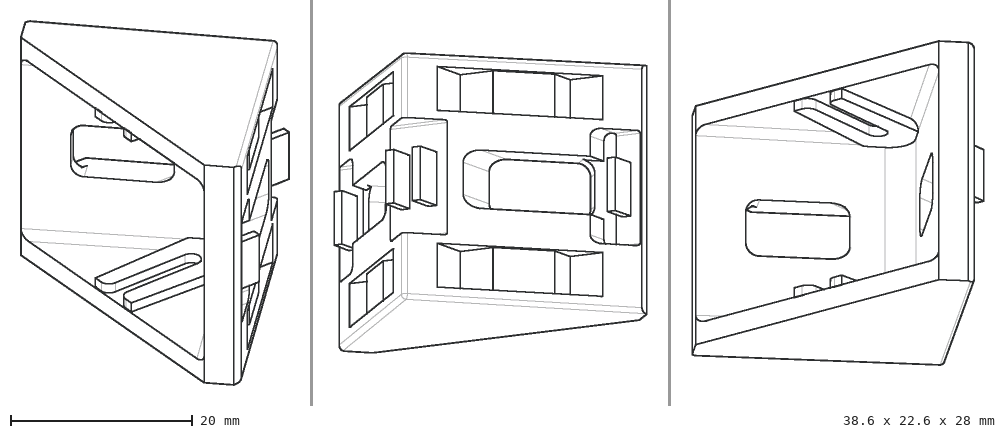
import cadquery as cq
import math

width = 38.6
height = 28.0
clearance = 1.93

outer_reach = 22.7
mouth_half_width = 17.0
inner_reach = mouth_half_width
outer_edge_radius = 0.55
outer_draft = 0.35

side_wall = 2.47
inner_corner_radius = 3.05
cavity_fillet = 1.0
inner_draft = 1.2

pad_thickness = 1.15
pad_half_width = 3.32
pad_half_width_deep = 3.95
pad_start_y = 0.1
pad_end_y = 16.2
pad_slot_half_width = 1.15
pad_slot_end_y = 11.9
pad_mouth_radius = 1.12

slot_inner_x = 4.9
slot_outer_x = 13.05
slot_half_height = 3.3
slot_radius = 1.45

recess_half_height = 6.5
recess_start_x = 15.15
recess_floor_y = 3.55
recess_corner_radius = 0.93
recess_floor_radius = 0.27
recess_reach = 19.7

notch_floor_y = 19.05

tab_half_height = 3.0
tab_width = 1.0
tab_root_width = 1.1
tab_embed = 0.4
upper_tab_x = 1.2
upper_tab_top_y = 22.6
lower_tab_x = 16.9
lower_tab_top_y = 6.87

pocket_low_z = 7.5
pocket_high_z = 12.43
pocket_start_x = 2.8
pocket_end_x = 16.15
pocket_width = 4.15
inner_pocket_floor_y = 14.85
outer_pocket_floor_y = 6.52
rib_drop = 0.8


def prism(points, low_z, high_z):
    """Closed XY outline extruded from low_z to high_z."""
    return cq.Workplane("XY").workplane(offset=low_z).polyline(points).close().extrude(high_z - low_z)


def drafted_slab(half_height, draft):
    """Slab symmetric about Z = 0 with the given half height at Y = 0, thinning towards +Y."""
    slope = math.tan(math.radians(draft))
    near_y = -clearance
    far_y = outer_reach + clearance
    near_z = half_height - near_y * slope
    far_z = half_height - far_y * slope
    return (
        cq.Workplane("YZ")
        .polyline([(near_y, -near_z), (far_y, -far_z), (far_y, far_z), (near_y, near_z)])
        .close()
        .extrude(width / 2 + clearance, both=True)
    )


def both_sides(solid):
    """The +X feature together with its mirror image on the -X side."""
    return solid.union(solid.mirror("YZ"))


def make_body():
    """Solid wedge with clipped ends, drafted sides and rounded outer edges."""
    half_width = width / 2
    end_low_y = half_width - mouth_half_width
    end_high_y = outer_reach - half_width
    outline = [
        (-mouth_half_width, 0),
        (mouth_half_width, 0),
        (half_width, end_low_y),
        (half_width, end_high_y),
        (0, outer_reach),
        (-half_width, end_high_y),
        (-half_width, end_low_y),
    ]
    wedge = prism(outline, -height, height).intersect(drafted_slab(height / 2, outer_draft))
    above_clipped_ends = cq.selectors.BoxSelector(
        (-half_width / 2 - clearance, end_high_y, -height),
        (half_width / 2 + clearance, outer_reach + clearance, height),
    )
    return wedge.edges(above_clipped_ends).fillet(outer_edge_radius)


def make_cavity():
    """Triangular cavity, open at Y = 0, with filleted walls."""
    base_half_width = mouth_half_width + clearance
    outline = [(-base_half_width, -clearance), (base_half_width, -clearance), (0, inner_reach)]
    triangle = prism(outline, -height, height).edges("|Z and >Y").fillet(inner_corner_radius)
    cavity = triangle.intersect(drafted_slab(height / 2 - side_wall, inner_draft))
    return cavity.edges("(not |Z) and (not <Y)").fillet(cavity_fillet)


def make_pads():
    """Two U-shaped pads, one on each side wall, open towards the mouth."""
    arc_centre_y = pad_slot_end_y - pad_slot_half_width
    leg_x = pad_slot_half_width + pad_mouth_radius
    leg_y = pad_start_y + pad_mouth_radius
    bulge = pad_mouth_radius * (1 - math.sqrt(0.5))
    bulge_x = pad_slot_half_width + bulge
    bulge_y = pad_start_y + bulge
    pad = (
        cq.Workplane("XY")
        .moveTo(pad_half_width, pad_start_y)
        .lineTo(pad_half_width_deep, pad_end_y)
        .lineTo(-pad_half_width_deep, pad_end_y)
        .lineTo(-pad_half_width, pad_start_y)
        .lineTo(-leg_x, pad_start_y)
        .threePointArc((-bulge_x, bulge_y), (-pad_slot_half_width, leg_y))
        .lineTo(-pad_slot_half_width, arc_centre_y)
        .threePointArc((0, pad_slot_end_y), (pad_slot_half_width, arc_centre_y))
        .lineTo(pad_slot_half_width, leg_y)
        .threePointArc((bulge_x, bulge_y), (leg_x, pad_start_y))
        .close()
        .extrude(height / 2 - side_wall / 2, both=True)
    )
    return pad.cut(drafted_slab(height / 2 - side_wall - pad_thickness, inner_draft))


def make_bolt_slot():
    """Slot through the +X flange: inner end runs along Y, outer end is square to the flange."""
    start_x = slot_outer_x - clearance
    start_y = inner_reach - slot_outer_x - clearance
    square_run = clearance + (outer_reach - inner_reach) / 2
    outline = [
        (start_x, start_y),
        (start_x + square_run, start_y + square_run),
        (slot_inner_x, outer_reach - slot_inner_x),
        (slot_inner_x, start_y),
    ]
    slot = prism(outline, -slot_half_height, slot_half_height)
    inner_end_edges = slot.faces("<X").edges("|Y")
    outer_end_edges = slot.faces(cq.selectors.DirectionMinMaxSelector(cq.Vector(1, -1, 0))).edges("not |Z")
    return slot.newObject(inner_end_edges.vals() + outer_end_edges.vals()).fillet(slot_radius)


def make_end_recess():
    """Recess at the free end of the +X flange, with a channel running into the bolt slot."""
    far_x = width / 2 + clearance
    outline = [
        (recess_start_x, outer_reach),
        (recess_start_x, recess_reach - recess_start_x),
        (recess_reach - recess_floor_y, recess_floor_y),
        (far_x, recess_floor_y),
        (far_x, outer_reach),
    ]
    recess = prism(outline, -recess_half_height, recess_half_height)
    recess = recess.faces("<Y").edges("|X").fillet(recess_floor_radius)
    recess = recess.edges("|Y and <X").fillet(recess_corner_radius)

    channel_start_x = slot_outer_x + (recess_reach - inner_reach) / 4
    channel_end_x = recess_start_x + recess_corner_radius
    channel_outline = [
        (channel_start_x, recess_reach - channel_start_x),
        (channel_end_x, recess_reach - channel_end_x),
        (channel_end_x, outer_reach - channel_start_x),
        (channel_start_x, outer_reach - channel_start_x),
    ]
    return recess.union(prism(channel_outline, -slot_half_height, slot_half_height))


def make_corner_notch():
    """Flat notch across the outer corner with rounded floor edges."""
    reach_x = outer_reach - notch_floor_y + clearance
    outline = [
        (-reach_x, notch_floor_y),
        (reach_x, notch_floor_y),
        (reach_x, outer_reach + clearance),
        (-reach_x, outer_reach + clearance),
    ]
    notch = prism(outline, -recess_half_height, recess_half_height)
    return notch.faces("<Y").edges("|X").fillet(recess_floor_radius)


def make_tab(inner_x, root_y, top_y):
    """Upright tab on the +X side, slightly wider at its root."""
    outline = [
        (inner_x, root_y - tab_embed),
        (inner_x + tab_root_width, root_y - tab_embed),
        (inner_x + tab_width, top_y),
        (inner_x, top_y),
    ]
    return prism(outline, -tab_half_height, tab_half_height)


def make_lightening_pockets():
    """Two flat-floored pockets and a lowered rib on the +X flange, near each side wall."""
    rib_start_x = pocket_start_x + pocket_width
    rib_end_x = pocket_end_x - pocket_width
    rib_reach = outer_reach - rib_drop
    outline = [
        (pocket_start_x, outer_reach),
        (pocket_start_x, inner_pocket_floor_y),
        (rib_start_x, inner_pocket_floor_y),
        (rib_start_x, rib_reach - rib_start_x),
        (rib_end_x, rib_reach - rib_end_x),
        (rib_end_x, outer_pocket_floor_y),
        (pocket_end_x, outer_pocket_floor_y),
        (pocket_end_x, outer_reach),
    ]
    upper = prism(outline, pocket_low_z, pocket_high_z)
    return upper.union(upper.mirror("XY"))


bracket = make_body().cut(make_cavity()).union(make_pads())
bracket = bracket.cut(make_corner_notch())
for flange_cut in (make_bolt_slot(), make_end_recess(), make_lightening_pockets()):
    bracket = bracket.cut(both_sides(flange_cut))

upper_tab = make_tab(upper_tab_x, notch_floor_y, upper_tab_top_y)
lower_tab = make_tab(lower_tab_x, recess_floor_y, lower_tab_top_y)
for tab in (upper_tab, lower_tab):
    bracket = bracket.union(both_sides(tab))

result = cq.Workplane(bracket.solids().val())